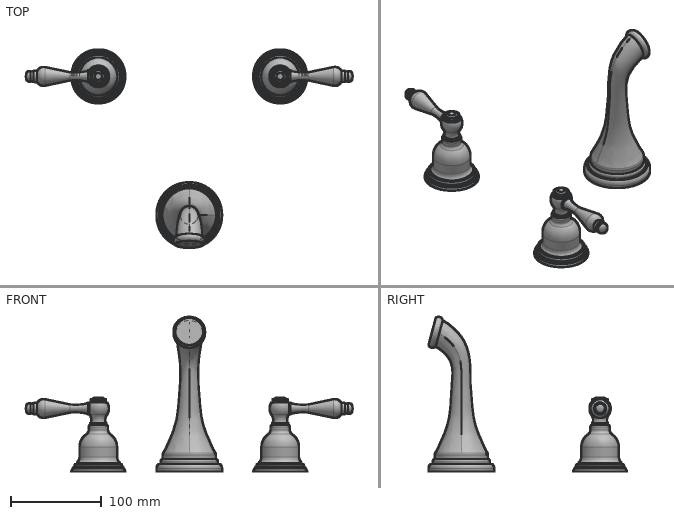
import cadquery as cq
import math

handle_spacing = 199.8
handle_setback = 152.5

spout_base_radius = 36.3
spout_base_band = 3.2
spout_step_height = 8.5
spout_step_radius = 33.5
spout_ring_radius = 31.5
spout_ring_height = 10.8
spout_collar_radius = 29.5
spout_collar_bottom = 14.0
spout_collar_edge = 18.5
spout_foot_height = 20.5
spout_foot_radius = 28.8

stem_stations = [
    (30.5, 23.7),
    (44.0, 18.0),
    (57.5, 14.0),
    (71.0, 12.2),
    (84.5, 11.0),
    (100.5, 10.0),
]

bend_start_height = 112.0
bend_radius = 43.5
bend_angle = 75

bend_stations = [
    (0, 10.0),
    (20, 11.0),
    (38, 13.0),
    (54, 14.0),
]

outlet_neck_radius = 14.7
outlet_rim_radius = 17.5
outlet_face_radius = 15.5
outlet_thickness = 8.3

lever_height = 69.5
lever_length = 79.8

flange_radius = 30.0
flange_lip_height = 3.2
flange_lip_radius = 28.5
reed_step = 1.0
reed_inset = 0.7
reed_count = 3
bead_top = 8.5
bead_top_radius = 24.8
cove_bottom = 9.7
cove_bottom_radius = 23.7

barrel_radius = 21.0
barrel_bottom = 16.0
barrel_top = 27.0
shoulder_top = 41.5
shoulder_top_radius = 13.0
throat_radius = 10.8
throat_bottom = 45.5
throat_top = 49.0
throat_rim_height = 51.0
throat_rim_radius = 9.7
ring_radius = 9.0
ring_top = 53.5

neck_radius = 8.0
neck_foot_radius = 8.3
ball_radius = 12.0
ball_bottom = 63.0
ball_top = 76.0
cap_neck_radius = 8.0
cap_bottom = 77.5
cap_radius = 8.5
cap_edge = 78.7
cap_shoulder = 79.8
cap_shoulder_radius = 7.0
cap_button_radius = 4.0
cap_top = 81.5

socket_end = 11.0
socket_radius = 7.0
grip_root_radius = 6.0
waist_distance = 23.7
waist_radius = 4.3
taper_start = 31.3
taper_start_radius = 4.5
bulb_distance = 58.5
bulb_radius = 10.5
bulb_end = 67.2
bulb_end_radius = 6.5
finial_ring_end = 71.5
finial_radius = 6.0
finial_ring_bulge = 6.5
finial_groove_radius = 5.5
finial_tip_start = 74.8


def stem_circle(height, radius):
    """Horizontal circle on the straight part of the stem."""
    return cq.Wire.makeCircle(radius, cq.Vector(0, 0, height), cq.Vector(0, 0, 1))


def bend_point(turn):
    """Point on the bend's centre arc after turning by this many degrees."""
    angle = math.radians(turn)
    return cq.Vector(
        0,
        -bend_radius * (1 - math.cos(angle)),
        bend_start_height + bend_radius * math.sin(angle),
    )


def bend_direction(turn):
    """Direction of the bend's centre arc after turning by this many degrees."""
    angle = math.radians(turn)
    return cq.Vector(0, -math.sin(angle), math.cos(angle))


def make_spout_base():
    """Turned base of the spout: base moulding, ring and collar."""
    return (
        cq.Workplane("XZ")
        .moveTo(0, 0)
        .lineTo(spout_base_radius, 0)
        .lineTo(spout_base_radius, spout_base_band)
        .tangentArcPoint((spout_step_radius, spout_step_height), relative=False)
        .lineTo(spout_ring_radius, spout_step_height)
        .lineTo(spout_ring_radius, spout_ring_height)
        .tangentArcPoint((spout_collar_radius, spout_collar_bottom), relative=False)
        .lineTo(spout_collar_radius, spout_collar_edge)
        .tangentArcPoint((spout_foot_radius, spout_foot_height), relative=False)
        .lineTo(0, spout_foot_height)
        .close()
        .revolve()
    )


def make_stem():
    """Smooth stem from the collar, round the bend, to the back of the outlet rim."""
    outlet_axis = bend_direction(bend_angle)
    outlet_back = bend_point(bend_angle) - outlet_axis * outlet_thickness
    sections = [stem_circle(spout_foot_height, spout_foot_radius)]
    for height, radius in stem_stations:
        sections.append(stem_circle(height, radius))
    for turn, radius in bend_stations:
        sections.append(cq.Wire.makeCircle(radius, bend_point(turn), bend_direction(turn)))
    sections.append(cq.Wire.makeCircle(outlet_neck_radius, outlet_back, outlet_axis))
    return cq.Workplane(obj=cq.Solid.makeLoft(sections))


def make_outlet_rim():
    """Rounded rim with a flat face at the end of the bend."""
    face_plane = cq.Plane(
        origin=bend_point(bend_angle),
        xDir=(1, 0, 0),
        normal=bend_direction(bend_angle).cross(cq.Vector(1, 0, 0)) * -1,
    )
    return (
        cq.Workplane(face_plane)
        .moveTo(0, 0)
        .lineTo(outlet_face_radius, 0)
        .threePointArc(
            (outlet_rim_radius, -outlet_thickness / 2),
            (outlet_neck_radius, -outlet_thickness),
        )
        .lineTo(0, -outlet_thickness)
        .close()
        .revolve()
    )


def make_spout():
    return make_spout_base().union(make_stem()).union(make_outlet_rim())


def make_handle_body():
    """Turned upright of a handle, from the flange to the cap."""
    profile = (
        cq.Workplane("XZ")
        .moveTo(0, 0)
        .lineTo(flange_radius, 0)
        .lineTo(flange_lip_radius, flange_lip_height)
    )
    for step in range(1, reed_count + 1):
        radius = flange_lip_radius - step * reed_inset
        height = flange_lip_height + step * reed_step
        profile = profile.lineTo(radius, height - reed_step).lineTo(radius, height)
    ball_bottom_radius = math.sqrt(ball_radius**2 - (lever_height - ball_bottom) ** 2)
    ball_top_radius = math.sqrt(ball_radius**2 - (ball_top - lever_height) ** 2)
    return (
        profile
        .tangentArcPoint((bead_top_radius, bead_top), relative=False)
        .lineTo(cove_bottom_radius, bead_top)
        .lineTo(cove_bottom_radius, cove_bottom)
        .spline(
            [(barrel_radius, barrel_bottom)],
            tangents=[(-1, 1), (0, 1)],
            includeCurrent=True,
        )
        .lineTo(barrel_radius, barrel_top)
        .tangentArcPoint((shoulder_top_radius, shoulder_top), relative=False)
        .spline(
            [(throat_radius, throat_bottom)],
            tangents=[(-1, 1), (0, 1)],
            includeCurrent=True,
        )
        .lineTo(throat_radius, throat_top)
        .tangentArcPoint((throat_rim_radius, throat_rim_height), relative=False)
        .lineTo(ring_radius, throat_rim_height)
        .lineTo(ring_radius, ring_top)
        .lineTo(neck_foot_radius, ring_top)
        .threePointArc(
            (neck_radius, (ring_top + ball_bottom) / 2),
            (ball_bottom_radius, ball_bottom),
        )
        .threePointArc((ball_radius, lever_height), (ball_top_radius, ball_top))
        .lineTo(cap_neck_radius, ball_top)
        .lineTo(cap_neck_radius, cap_bottom)
        .lineTo(cap_radius, cap_bottom)
        .lineTo(cap_radius, cap_edge)
        .tangentArcPoint((cap_shoulder_radius, cap_shoulder), relative=False)
        .lineTo(cap_button_radius, cap_top)
        .lineTo(0, cap_top)
        .close()
        .revolve()
    )


def make_lever():
    """Turned lever along +X, from inside the ball to the finial."""
    return (
        cq.Workplane("XY", origin=(0, 0, lever_height))
        .moveTo(0, 0)
        .lineTo(0, socket_radius)
        .lineTo(socket_end, socket_radius)
        .lineTo(socket_end, grip_root_radius)
        .threePointArc((waist_distance, waist_radius), (taper_start, taper_start_radius))
        .lineTo(bulb_distance, bulb_radius)
        .tangentArcPoint((bulb_end, bulb_end_radius), relative=False)
        .threePointArc(
            ((bulb_end + finial_ring_end) / 2, finial_ring_bulge),
            (finial_ring_end, finial_radius),
        )
        .threePointArc(
            ((finial_ring_end + finial_tip_start) / 2, finial_groove_radius),
            (finial_tip_start, finial_radius),
        )
        .spline(
            [(lever_length, 0)],
            tangents=[(1, 0), (0, -1)],
            includeCurrent=True,
        )
        .close()
        .revolve(360, (0, 0, 0), (1, 0, 0))
    )


def make_handle(side):
    """Handle with its lever pointing outwards; side is -1 for left, 1 for right."""
    turn = 0 if side > 0 else 180
    return (
        make_handle_body()
        .union(make_lever())
        .rotate((0, 0, 0), (0, 0, 1), turn)
        .translate((side * handle_spacing / 2, handle_setback, 0))
    )


spout = make_spout()
handles = [make_handle(side) for side in (-1, 1)]

result = cq.Compound.makeCompound([spout.val(), *[handle.val() for handle in handles]])